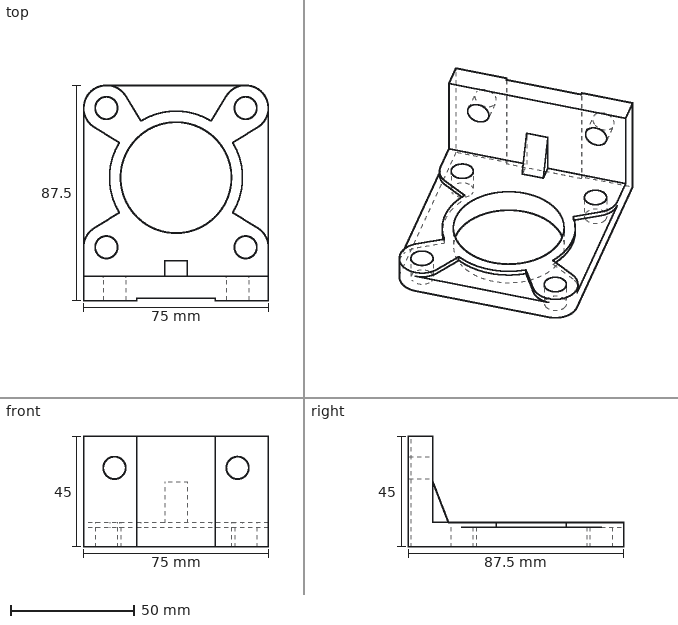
import cadquery as cq
import math

width = 75.0
depth = 87.5
height = 45.0
plate_thickness = 10.0
wall_thickness = 10.0
recess_depth = 2.0

bore_diameter = 45.0
rim_diameter = 54.1
bolt_spacing = 56.5
bolt_diameter = 9.0
arm_root_half_width = 6.2

wall_hole_spacing = 50.0
wall_hole_height = 32.1
groove_width = 31.8
groove_depth = 1.0

gusset_width = 9.0
gusset_length = 6.4
gusset_height = 16.5

bore_y = depth - width / 2
lobe_radius = (width - bolt_spacing) / 2
front_bolt_y = bore_y - bolt_spacing / 2
floor_height = plate_thickness - recess_depth


def block(x_size, y_start, y_end, z_size):
    """Box centred on X, standing on the Z = 0 plane."""
    return (
        cq.Workplane("XY")
        .box(x_size, y_end - y_start, z_size, centered=(True, False, False))
        .translate((0, y_start, 0))
    )


def arm(angle):
    """Raised arm from the bore to a corner bolt lobe, its sides tangent to the lobe."""
    reach = bolt_spacing / math.sqrt(2)
    root = math.sqrt((rim_diameter / 2) ** 2 - arm_root_half_width**2)
    gap = reach - root
    slope = math.asin(lobe_radius / math.hypot(gap, arm_root_half_width)) - math.atan2(
        arm_root_half_width, gap
    )
    tangent_x = reach - lobe_radius * math.sin(slope)
    tangent_y = lobe_radius * math.cos(slope)
    return (
        cq.Workplane("XY")
        .lineTo(root, -arm_root_half_width)
        .lineTo(tangent_x, -tangent_y)
        .threePointArc((reach + lobe_radius, 0), (tangent_x, tangent_y))
        .lineTo(root, arm_root_half_width)
        .close()
        .extrude(plate_thickness)
        .rotate((0, 0, 0), (0, 0, 1), angle)
        .translate((0, bore_y, 0))
    )


body = block(width, 0, depth, floor_height).edges("|Z and >Y").fillet(lobe_radius)

body = body.union(
    cq.Workplane("XY").center(0, bore_y).circle(rim_diameter / 2).extrude(plate_thickness)
)
for arm_angle in (45, 135, 225, 315):
    body = body.union(arm(arm_angle))

body = body.union(block(width, 0, front_bolt_y, plate_thickness))
front_fill = (
    cq.Workplane("XY")
    .moveTo(0, bore_y)
    .lineTo(-bolt_spacing / 2, front_bolt_y)
    .lineTo(bolt_spacing / 2, front_bolt_y)
    .close()
    .extrude(plate_thickness)
)
body = body.union(front_fill)

body = body.union(block(width, 0, wall_thickness, height))
gusset = (
    cq.Workplane("YZ")
    .moveTo(wall_thickness, plate_thickness)
    .lineTo(wall_thickness + gusset_length, plate_thickness)
    .lineTo(wall_thickness, plate_thickness + gusset_height)
    .close()
    .extrude(gusset_width / 2, both=True)
)
body = body.union(gusset)

body = body.cut(
    cq.Workplane("XY").center(0, bore_y).circle(bore_diameter / 2).extrude(plate_thickness)
)
body = body.cut(
    cq.Workplane("XY")
    .center(0, bore_y)
    .rect(bolt_spacing, bolt_spacing, forConstruction=True)
    .vertices()
    .circle(bolt_diameter / 2)
    .extrude(plate_thickness)
)

body = body.cut(block(groove_width, 0, groove_depth, height))
wall_holes = (
    cq.Workplane("XZ")
    .pushPoints([(side * wall_hole_spacing / 2, wall_hole_height) for side in (-1, 1)])
    .circle(bolt_diameter / 2)
    .extrude(-wall_thickness)
)
result = body.cut(wall_holes)